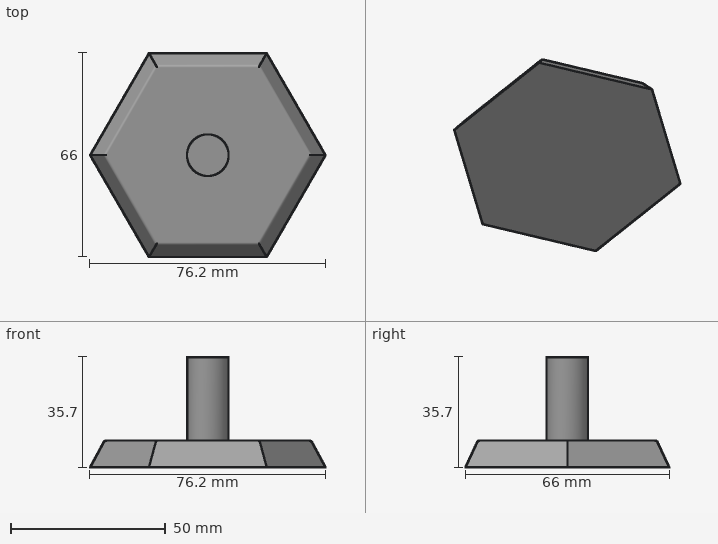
import cadquery as cq

base_width = 76.2
base_height = 8.7
side_slope = 65.0
top_edge_radius = 1.0

stem_diameter = 13.5
total_height = 35.7

side_taper = 90.0 - side_slope


def make_base():
    """Tapered hexagonal plate with a rounded top edge."""
    plate = cq.Workplane("XY").polygon(6, base_width).extrude(base_height, taper=side_taper)
    return plate.faces(">Z").edges().fillet(top_edge_radius)


def make_stem():
    """Cylinder rising from the middle of the base."""
    return cq.Workplane("XY").circle(stem_diameter / 2).extrude(total_height)


result = make_base().union(make_stem())